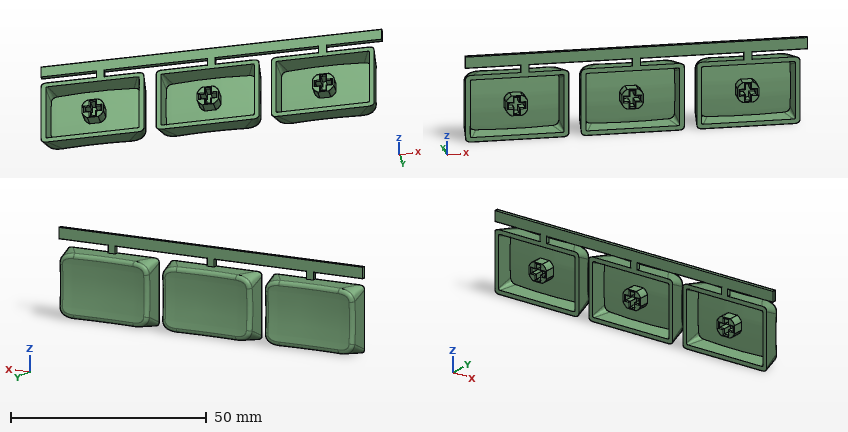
import cadquery as cq

BAR_LENGTH = 88.8
BAR_HEIGHT = 3.0
BAR_THICKNESS = 1.1
TOTAL_HEIGHT = 22.9

TAB_WIDTH = 2.0
TAB_PITCH = 29.0
TAB_OVERLAP = 0.6

CAP_COUNT = 3
CAP_PITCH = 30.0
CAP_WIDTH = 26.8
CAP_HEIGHT = 17.95
BLANK_DEPTH = 6.4
RIM_CORNER = (1.6, 1.15)
TOP_CORNER = (5.5, 3.7)
SIDE_TAPER = 0.5
TOP_EDGE_RADIUS = 1.1
WALL = 1.2
TOP_THICKNESS = 1.1
POCKET_CORNER = (0.4, 0.4)
FLOOR_CORNER = (1.95, 1.8)
POCKET_DEPTH = 5.5
POCKET_TAPER = 0.7

DISH_BOTTOM = 4.4
DISH_RADIUS_X = 101.3
DISH_RADIUS_Z = 53.3
DISH_HALF_LENGTH = 17.8

STEM_DIAMETER = 6.0
STEM_SPAN_X = 5.6
STEM_SPAN_Z = 5.3
STEM_FRONT = 0.4
SLOT_LENGTH = 4.3
SLOT_WIDTH = 1.3
SLOT_DEPTH = 2.9
SLOT_CHAMFER = 0.3
CHAMFER_ANGLE = 45


def at_depth(y):
    """Workplane facing -Y at depth y; its local axes are X and Z."""
    return cq.Workplane("XZ", origin=(0, y, 0))


def soft_rectangle(plane, width, height, corner):
    """Rectangle about the origin whose corners are parabolic curves."""
    x, z = width / 2, height / 2
    cx, cz = corner
    return (
        plane.moveTo(-x + cx, -z)
        .lineTo(x - cx, -z)
        .bezier([(x - cx, -z), (x, -z), (x, -z + cz)])
        .lineTo(x, z - cz)
        .bezier([(x, z - cz), (x, z), (x - cx, z)])
        .lineTo(-x + cx, z)
        .bezier([(-x + cx, z), (-x, z), (-x, z - cz)])
        .lineTo(-x, -z + cz)
        .bezier([(-x, -z + cz), (-x, -z), (-x + cx, -z)])
        .close()
    )


def tapered_block(width, height, taper, rim_corner, far_corner, depth):
    """Block from the rim plane to the given depth, leaning inward on all sides."""
    far_width = width - 2 * taper
    far_height = height - 2 * taper
    rim = soft_rectangle(at_depth(0), width, height, rim_corner).wires().val()
    far = soft_rectangle(at_depth(depth), far_width, far_height, far_corner).wires().val()
    return cq.Workplane(cq.Solid.makeLoft([rim, far], True))


def dish(bottom):
    """Barrel whose lowest point lies at Y = bottom; it hollows everything beyond."""
    axis_y = bottom + DISH_RADIUS_Z
    end_y = bottom + DISH_RADIUS_X - (DISH_RADIUS_X**2 - DISH_HALF_LENGTH**2) ** 0.5
    return (
        cq.Workplane("XY")
        .moveTo(-DISH_HALF_LENGTH, axis_y)
        .lineTo(-DISH_HALF_LENGTH, end_y)
        .threePointArc((0, bottom), (DISH_HALF_LENGTH, end_y))
        .lineTo(DISH_HALF_LENGTH, axis_y)
        .close()
        .revolve(360, (-DISH_HALF_LENGTH, axis_y), (DISH_HALF_LENGTH, axis_y))
    )


def cross(arm):
    """The arm joined with a copy of itself turned a quarter turn about the stem axis."""
    return arm.union(arm.rotate((0, 0, 0), (0, 1, 0), 90))


def stem():
    """Round post with four flats and a blind cross slot with a chamfered mouth."""
    reach = DISH_BOTTOM - TOP_THICKNESS / 2 - STEM_FRONT
    front = at_depth(STEM_FRONT)
    post = front.circle(STEM_DIAMETER / 2).extrude(-reach)
    post = post.intersect(front.rect(STEM_SPAN_X, STEM_SPAN_Z).extrude(-reach))
    slot_arm = front.rect(SLOT_LENGTH, SLOT_WIDTH).extrude(-SLOT_DEPTH)
    mouth_outline = front.rect(SLOT_LENGTH + 2 * SLOT_CHAMFER, SLOT_WIDTH + 2 * SLOT_CHAMFER)
    mouth_arm = mouth_outline.extrude(-SLOT_CHAMFER, taper=CHAMFER_ANGLE)
    return post.cut(cross(slot_arm)).cut(cross(mouth_arm))


def keycap():
    """Hollow cap centred on the Y axis, with its open rim at Y = 0."""
    body = tapered_block(CAP_WIDTH, CAP_HEIGHT, SIDE_TAPER, RIM_CORNER, TOP_CORNER, BLANK_DEPTH)
    body = body.cut(dish(DISH_BOTTOM))
    body = body.faces(">Y").edges().fillet(TOP_EDGE_RADIUS)
    pocket_width = CAP_WIDTH - 2 * WALL
    pocket_height = CAP_HEIGHT - 2 * WALL
    pocket = tapered_block(pocket_width, pocket_height, POCKET_TAPER, POCKET_CORNER, FLOOR_CORNER, POCKET_DEPTH)
    pocket = pocket.cut(dish(DISH_BOTTOM - TOP_THICKNESS))
    return body.cut(pocket).union(stem())


def sprue_bar(x_center, width, z_bottom, z_top):
    """Flat piece of the sprue with its front face on the rim plane."""
    bar = cq.Workplane("XY").box(width, BAR_THICKNESS, z_top - z_bottom, centered=(True, False, False))
    return bar.translate((x_center, 0, z_bottom))


bar_bottom = TOTAL_HEIGHT - BAR_HEIGHT
tab_bottom = CAP_HEIGHT - TAB_OVERLAP
result = sprue_bar(BAR_LENGTH / 2, BAR_LENGTH, bar_bottom, TOTAL_HEIGHT)
cap = keycap()
for index in range(CAP_COUNT):
    tab_x = BAR_LENGTH / 2 + (index - (CAP_COUNT - 1) / 2) * TAB_PITCH
    cap_x = CAP_WIDTH / 2 + index * CAP_PITCH
    result = result.union(sprue_bar(tab_x, TAB_WIDTH, tab_bottom, bar_bottom))
    result = result.union(cap.translate((cap_x, 0, CAP_HEIGHT / 2)))